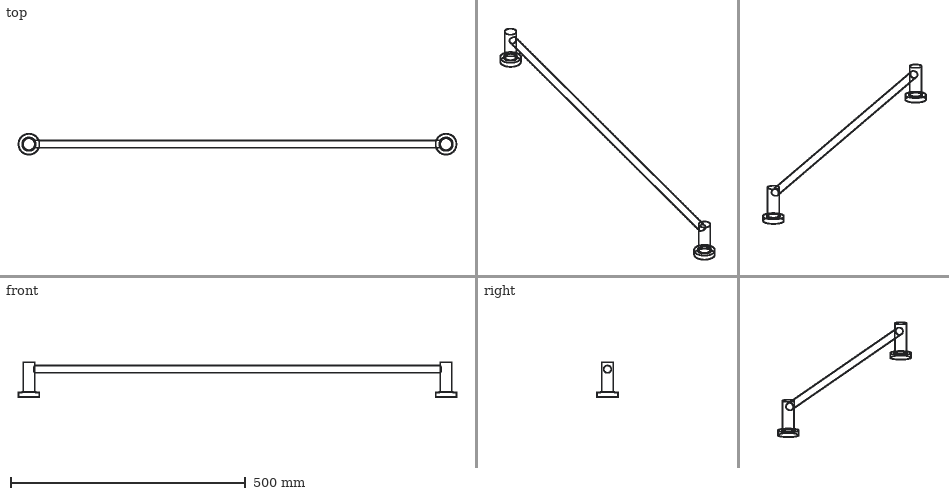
import cadquery as cq

overall_length = 934.0
overall_height = 75.0

flange_diameter = 45.0
flange_thickness = 10.0
collar_diameter = 29.0
collar_height = 1.0
post_diameter = 25.0
post_offset = (overall_length - flange_diameter) / 2
post_positions = (-post_offset, post_offset)

rail_diameter = 16.0
rail_height = 60.0


def make_disc(x, diameter, top):
    """Upright cylinder from Z = 0 to the given top, centred at x."""
    return cq.Workplane("XY").center(x, 0).circle(diameter / 2).extrude(top)


def make_shaft(x):
    """Plain round post shaft."""
    return make_disc(x, post_diameter, overall_height)


def make_post(x):
    """Flange, low collar and shaft in one piece."""
    flange = make_disc(x, flange_diameter, flange_thickness)
    collar = make_disc(x, collar_diameter, flange_thickness + collar_height)
    return flange.union(collar).union(make_shaft(x))


def make_rail():
    """Round rail along X, its ends hollowed to seat against the posts."""
    rail = (
        cq.Workplane("YZ", origin=(-post_offset, 0, rail_height))
        .circle(rail_diameter / 2)
        .extrude(2 * post_offset)
    )
    for x in post_positions:
        rail = rail.cut(make_shaft(x))
    return rail


posts = [make_post(x) for x in post_positions]
rail = make_rail()

result = cq.Compound.makeCompound([rail.val(), *[post.val() for post in posts]])